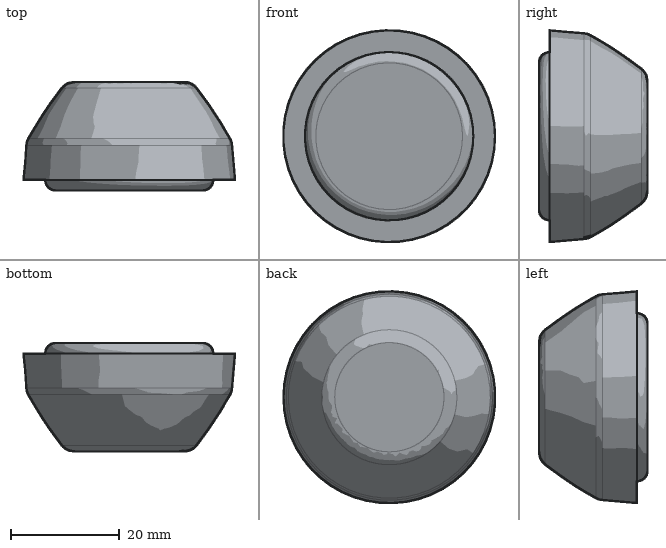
import cadquery as cq
import math

base_radius = 19.5
overall_depth = 20.0
pad_radius = 15.5
pad_height = 2.0
body_depth = overall_depth - pad_height

wall_depth = 7.0
wall_draft = 5.0
back_radius = 11.5
flank_bulge = 0.292
edge_radius = 3.0

shoulder_radius = base_radius - wall_depth * math.tan(math.radians(wall_draft))


def flank_midpoint():
    """Middle of the flank arc, offset outward from the middle of its chord."""
    radial_run = shoulder_radius - back_radius
    axial_run = body_depth - wall_depth
    chord = math.hypot(radial_run, axial_run)
    mid_radius = (shoulder_radius + back_radius) / 2 + flank_bulge * axial_run / chord
    mid_depth = (wall_depth + body_depth) / 2 + flank_bulge * radial_run / chord
    return mid_radius, mid_depth


def revolve_about_y(profile):
    return profile.close().revolve(360, (0, 0, 0), (0, 1, 0))


def make_body():
    """Drafted wall followed by a gently convex flank, with rounded corners."""
    profile = (
        cq.Workplane("XY")
        .lineTo(base_radius, 0)
        .lineTo(shoulder_radius, wall_depth)
        .threePointArc(flank_midpoint(), (back_radius, body_depth))
        .lineTo(0, body_depth)
    )
    body = revolve_about_y(profile)
    return body.edges("%CIRCLE").edges("not <Y").fillet(edge_radius)


def make_pad():
    """Raised front disc with a quarter-round rim."""
    flat_radius = pad_radius - pad_height
    rim_offset = pad_height * math.sqrt(0.5)
    profile = (
        cq.Workplane("XY")
        .lineTo(pad_radius, 0)
        .threePointArc((flat_radius + rim_offset, -rim_offset), (flat_radius, -pad_height))
        .lineTo(0, -pad_height)
    )
    return revolve_about_y(profile)


result = make_body().union(make_pad())